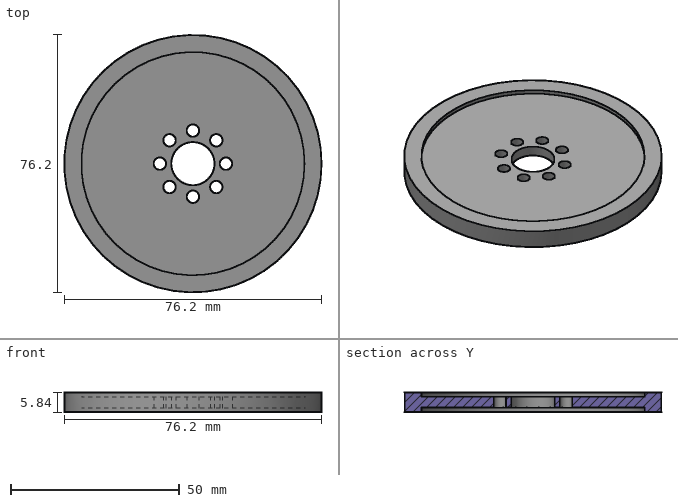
import cadquery as cq

outer_diameter = 76.2
thickness = 5.84
recess_diameter = 66.04
recess_depth = 1.27

bore_diameter = 12.7
bolt_hole_diameter = 3.6
bolt_circle_diameter = 19.56
bolt_hole_count = 8


def cylinder(diameter, height, bottom):
    """Solid cylinder on the Z axis, rising from the given height."""
    return cq.Workplane("XY").workplane(offset=bottom).circle(diameter / 2).extrude(height)


def cut_recesses(body):
    """Sink the same shallow circular recess into the top and bottom faces."""
    for bottom in (0, thickness - recess_depth):
        body = body.cut(cylinder(recess_diameter, recess_depth, bottom))
    return body


def cut_bolt_holes(body):
    """Drill the evenly spaced ring of through holes."""
    holes = (
        cq.Workplane("XY")
        .polarArray(bolt_circle_diameter / 2, 0, 360, bolt_hole_count)
        .circle(bolt_hole_diameter / 2)
        .extrude(thickness)
    )
    return body.cut(holes)


result = cylinder(outer_diameter, thickness, 0)
result = cut_recesses(result)
result = result.cut(cylinder(bore_diameter, thickness, 0))
result = cut_bolt_holes(result)